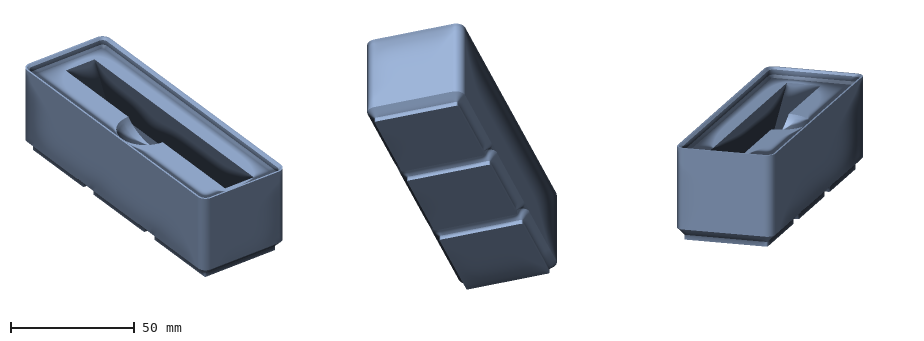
import cadquery as cq
import math

length = 125.5
width = 41.5
height = 39.3
corner_radius = 3.9

foot_count = 3
foot_pitch = (length - width) / (foot_count - 1)
foot_width = 35.4
foot_corner_radius = 0.6
foot_straight_height = 2.0
foot_flare = (foot_pitch - foot_width) / 2
foot_height = foot_straight_height + foot_flare

rim_width = 0.8
upper_bevel = 0.9
lower_bevel = 1.1
lip_depth = 4.1
floor_z = height - lip_depth

slot_length = 110.0
slot_opening = 14.3
slot_front_y = -4.3
slot_lean = 15.0
slot_depth = 29.5

scoop_radius = 12.5


def rounded_block(block_length, block_width, radius, bottom_z, top_z, wall_taper=0):
    """Block centred on the Z axis with rounded corners; a negative taper widens it upward."""
    outline = cq.Sketch().rect(block_length, block_width).vertices().fillet(radius)
    base = cq.Workplane("XY", origin=(0, 0, bottom_z)).placeSketch(outline)
    return base.extrude(top_z - bottom_z, taper=wall_taper)


def inset_block(inset, bottom_z, top_z, wall_taper=0):
    """Block whose bottom outline lies at a constant inset from the outer body."""
    return rounded_block(
        length - 2 * inset, width - 2 * inset, corner_radius - inset, bottom_z, top_z, wall_taper
    )


def make_foot():
    """Square foot with straight sides below a 45 degree flare to the full cell size."""
    straight = rounded_block(
        foot_width, foot_width, foot_corner_radius, 0, foot_straight_height
    )
    flare = rounded_block(
        foot_width, foot_width, foot_corner_radius, foot_straight_height, foot_height, -45
    )
    return straight.union(flare)


def make_body():
    """Solid body on its row of feet, trimmed to the outer outline."""
    body = inset_block(0, foot_height, height)
    foot = make_foot()
    for index in range(foot_count):
        foot_x = (index - (foot_count - 1) / 2) * foot_pitch
        body = body.union(foot.translate((foot_x, 0, 0)))
    return body.intersect(inset_block(0, 0, height))


def make_lip_recess():
    """Recess inside the rim: bevel up from the floor, straight wall, bevel up to the rim."""
    straight_inset = rim_width + upper_bevel
    straight_bottom_z = floor_z + lower_bevel
    straight_top_z = height - upper_bevel
    lower = inset_block(straight_inset + lower_bevel, floor_z, straight_bottom_z, -45)
    straight = inset_block(straight_inset, straight_bottom_z, straight_top_z)
    upper = inset_block(straight_inset, straight_top_z, height, -45)
    return lower.union(straight).union(upper)


def make_slot():
    """Rectangular slot tilted about the front edge of its opening."""
    thickness = slot_opening * math.cos(math.radians(slot_lean))
    upright = cq.Workplane("XY").box(
        slot_length, thickness, slot_depth, centered=(True, False, False)
    )
    leaning = upright.translate((0, 0, -slot_depth)).rotate((0, 0, 0), (1, 0, 0), slot_lean)
    return leaning.translate((0, slot_front_y, floor_z))


def make_scoop():
    """Sphere that opens the front edge of the slot for a finger."""
    return cq.Workplane("XY").sphere(scoop_radius).translate((0, slot_front_y, height))


result = make_body().cut(make_lip_recess()).cut(make_slot()).cut(make_scoop())